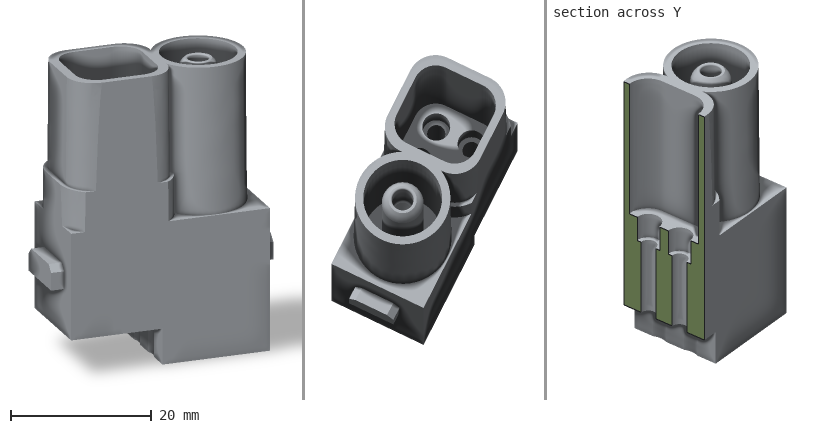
import cadquery as cq
import math

BODY_WIDTH = 14.65
BODY_LENGTH = 30.25
TOTAL_HEIGHT = 43.8
SHOULDER_Z = 21.55
STEP_Z = 5.45
STEP_Y = -1.23

LUG_DEPTH = 1.95
LUG_BOTTOM_Z = 12.25
LUG_HEIGHT = 3.7
LUG_CHAMFER = 1.0
FRONT_LUG_WIDTH = 9.0
BACK_LUG_WIDTH = 7.0

DRAFT_ANGLE = 0.5

ROUND_Y = 7.0
ROUND_TOP_DIAMETER = 13.58
ROUND_BORE = 11.2

PIN_DIAMETER = 5.95
PIN_TOP_Z = 42.92
PIN_LIP_DIAMETER = 4.0
PIN_NOSE_RADIUS = 2.4
PIN_BORE = 3.05
PIN_BORE_DEPTH = 6.55
PIN_DRILL_DIAMETER = 2.5
PIN_DRILL_ANGLE = 118.0
PIN_LIP_FILLET = 0.2

SQUARE_Y = -6.65
SQUARE_TOP_WIDTH = BODY_WIDTH
SQUARE_TOP_LENGTH = 15.25
SQUARE_TOP_RADIUS = 4.0
POCKET_SIZE = 12.4
POCKET_RADIUS = 3.25
COLLAR_TOP_Z = 27.55
COLLAR_TOP_SIZE = BODY_LENGTH + 2 * SQUARE_Y
COLLAR_TOP_RADIUS = 5.6

HOLE_PITCH = 5.6
HOLE_DIAMETER = 2.6
COUNTERBORE_DIAMETER = 4.0
COUNTERBORE_DEPTH = 4.0
WIRE_RELIEF_DIAMETER = 5.8


def draft_growth(height):
    """Sideways growth of a drafted wall over the given height."""
    return height * math.tan(math.radians(DRAFT_ANGLE))


def drafted_block(width, length, radius, top_z):
    """Rounded, drafted block on the shoulder; the sizes are those of its top."""
    height = top_z - SHOULDER_Z
    growth = draft_growth(height)
    outline = (
        cq.Sketch()
        .rect(width + 2 * growth, length + 2 * growth)
        .vertices()
        .fillet(radius + growth)
    )
    return (
        cq.Workplane("XY", origin=(0, SQUARE_Y, SHOULDER_Z))
        .placeSketch(outline)
        .extrude(height, taper=DRAFT_ANGLE)
    )


def cylinder(x, y, bottom_z, top_z, diameter):
    return (
        cq.Workplane("XY", origin=(x, y, bottom_z))
        .circle(diameter / 2)
        .extrude(top_z - bottom_z)
    )


def block(width, y_min, y_max, bottom_z, top_z):
    """Box centred on X."""
    return (
        cq.Workplane("XY", origin=(0, y_min, bottom_z))
        .box(width, y_max - y_min, top_z - bottom_z, centered=(True, False, False))
    )


def make_base():
    """Main block, with its front lower part cut away."""
    half_length = BODY_LENGTH / 2
    base = block(BODY_WIDTH, -half_length, half_length, 0, SHOULDER_Z)
    return base.cut(block(BODY_WIDTH, -half_length, STEP_Y, 0, STEP_Z))


def make_lug(width, side):
    """Lug with chamfered upper corners; side is -1 for the front and 1 for the back."""
    inner_y = side * BODY_LENGTH / 2
    outer_y = inner_y + side * LUG_DEPTH
    lug = block(width, min(inner_y, outer_y), max(inner_y, outer_y), LUG_BOTTOM_Z, LUG_BOTTOM_Z + LUG_HEIGHT)
    return lug.faces(">Z").edges("|Y").chamfer(LUG_CHAMFER)


def make_sockets():
    """Drafted socket towers, trimmed flush with the sides of the main block."""
    tower_height = TOTAL_HEIGHT - SHOULDER_Z
    round_tower = (
        cq.Workplane("XY", origin=(0, ROUND_Y, SHOULDER_Z))
        .circle(ROUND_TOP_DIAMETER / 2 + draft_growth(tower_height))
        .extrude(tower_height, taper=DRAFT_ANGLE)
    )
    square_tower = drafted_block(SQUARE_TOP_WIDTH, SQUARE_TOP_LENGTH, SQUARE_TOP_RADIUS, TOTAL_HEIGHT)
    collar = drafted_block(COLLAR_TOP_SIZE, COLLAR_TOP_SIZE, COLLAR_TOP_RADIUS, COLLAR_TOP_Z)
    envelope = block(BODY_WIDTH, -BODY_LENGTH / 2, BODY_LENGTH / 2, SHOULDER_Z, TOTAL_HEIGHT)
    return round_tower.union(square_tower).union(collar).intersect(envelope)


def make_square_pocket():
    outline = cq.Sketch().rect(POCKET_SIZE, POCKET_SIZE).vertices().fillet(POCKET_RADIUS)
    return (
        cq.Workplane("XY", origin=(0, SQUARE_Y, SHOULDER_Z))
        .placeSketch(outline)
        .extrude(TOTAL_HEIGHT - SHOULDER_Z)
    )


def make_pin():
    """Power pin revolved from its half section: domed nose, rounded lip and drilled bore."""
    pin_r = PIN_DIAMETER / 2
    lip_r = PIN_LIP_DIAMETER / 2
    bore_r = PIN_BORE / 2
    drill_r = PIN_DRILL_DIAMETER / 2
    floor_z = PIN_TOP_Z - PIN_BORE_DEPTH
    drill_tip_z = floor_z - drill_r / math.tan(math.radians(PIN_DRILL_ANGLE / 2))

    nose_center_r = pin_r - PIN_NOSE_RADIUS
    nose_height = math.sqrt(PIN_NOSE_RADIUS**2 - (lip_r - nose_center_r) ** 2)
    nose_z = PIN_TOP_Z - nose_height
    mid_angle = math.asin(nose_height / PIN_NOSE_RADIUS) / 2
    nose_mid = (
        nose_center_r + PIN_NOSE_RADIUS * math.cos(mid_angle),
        nose_z + PIN_NOSE_RADIUS * math.sin(mid_angle),
    )

    quarter_arc_inset = 1 - math.sqrt(0.5)
    lip_inset = PIN_LIP_FILLET * quarter_arc_inset
    lip_mid = (bore_r + lip_inset, PIN_TOP_Z - lip_inset)
    floor_fillet = bore_r - drill_r
    floor_inset = floor_fillet * quarter_arc_inset
    floor_mid = (bore_r - floor_inset, floor_z + floor_inset)

    return (
        cq.Workplane("XZ", origin=(0, ROUND_Y, 0))
        .moveTo(0, SHOULDER_Z)
        .lineTo(pin_r, SHOULDER_Z)
        .lineTo(pin_r, nose_z)
        .threePointArc(nose_mid, (lip_r, PIN_TOP_Z))
        .lineTo(bore_r + PIN_LIP_FILLET, PIN_TOP_Z)
        .threePointArc(lip_mid, (bore_r, PIN_TOP_Z - PIN_LIP_FILLET))
        .lineTo(bore_r, floor_z + floor_fillet)
        .threePointArc(floor_mid, (drill_r, floor_z))
        .lineTo(0, drill_tip_z)
        .close()
        .revolve(360, (0, 0, 0), (0, 1, 0))
    )


def cut_contact_holes(body):
    """Counterbored through holes; wire reliefs scallop the step wall behind the rear pair."""
    for x_side in (-1, 1):
        x = x_side * HOLE_PITCH / 2
        for y_side in (-1, 1):
            y = SQUARE_Y + y_side * HOLE_PITCH / 2
            body = body.cut(cylinder(x, y, STEP_Z, SHOULDER_Z, HOLE_DIAMETER))
            body = body.cut(cylinder(x, y, SHOULDER_Z - COUNTERBORE_DEPTH, SHOULDER_Z, COUNTERBORE_DIAMETER))
        rear_y = SQUARE_Y + HOLE_PITCH / 2
        body = body.cut(cylinder(x, rear_y, 0, STEP_Z, WIRE_RELIEF_DIAMETER))
    return body


body = make_base().union(make_sockets())
body = body.cut(cylinder(0, ROUND_Y, SHOULDER_Z, TOTAL_HEIGHT, ROUND_BORE))
body = body.cut(make_square_pocket())
body = cut_contact_holes(body)
body = body.union(make_pin())
body = body.union(make_lug(FRONT_LUG_WIDTH, -1))
body = body.union(make_lug(BACK_LUG_WIDTH, 1))
result = body